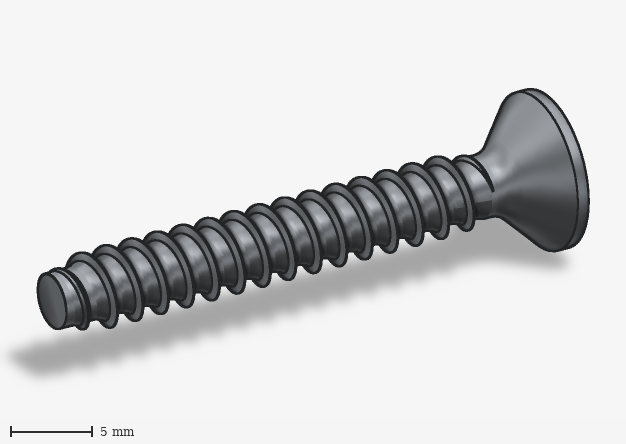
import cadquery as cq
import math

length = 35.0

head_radius = 5.0
rim_thickness = 0.77
shank_radius = 1.95
neck_fillet = 2.0
neck_angle = math.radians(45)
shank_end = 5.05

core_radius = 1.75
core_start = 6.02

crest_radius = 2.5
full_start = 6.65
full_length = 25.65
full_turns = 14.25
pitch = full_length / full_turns
lead_in_turns = 1.0
run_out_turns = 1.35
sections_per_turn = 12
full_stretches = 3

crest_half_width = 0.05
head_flank_foot = -0.35
tip_flank_foot = 0.25
root_start_radius = 2.0
root_middle = (0.7, 1.82)
root_end = 1.35
burial_depth = 0.052
buried_radius = core_radius - burial_depth

lead_in_height = 0.3
run_out_height = 0.03


def make_blank():
    """Head, neck and core as one turned body."""
    neck_radius = shank_radius + neck_fillet * (1 - math.cos(neck_angle))
    neck_start = rim_thickness + (head_radius - neck_radius) / math.tan(neck_angle)
    neck_end = neck_start + neck_fillet * math.sin(neck_angle)
    half_angle = neck_angle / 2
    neck_middle = (
        shank_radius + neck_fillet * (1 - math.cos(half_angle)),
        -(neck_end - neck_fillet * math.sin(half_angle)),
    )
    return (
        cq.Workplane("XY")
        .lineTo(head_radius, 0)
        .lineTo(head_radius, -rim_thickness)
        .lineTo(neck_radius, -neck_start)
        .threePointArc(neck_middle, (shank_radius, -neck_end))
        .lineTo(shank_radius, -shank_end)
        .lineTo(core_radius, -core_start)
        .lineTo(core_radius, -length)
        .lineTo(0, -length)
        .close()
        .revolve(360, (0, 0, 0), (0, 1, 0))
        .val()
    )


def height_share(turn):
    """Share of the full ridge height; turn 0 is the first full-height crest."""
    if turn < 0:
        return 1 + (1 - lead_in_height) * turn / lead_in_turns
    if turn > full_turns:
        return 1 - (1 - run_out_height) * (turn - full_turns) / run_out_turns
    return 1


def ridge_section(turn):
    """Ridge section in the plane through the axis; turn 0 lies on the +X side."""
    angle = 2 * math.pi * turn
    crest_y = -full_start - pitch * turn
    share = height_share(turn)

    def corner(offset, full_radius):
        radius = buried_radius + share * (full_radius - buried_radius)
        return cq.Vector(radius * math.cos(angle), crest_y - offset, radius * math.sin(angle))

    head_foot = corner(head_flank_foot, buried_radius)
    head_crest = corner(-crest_half_width, crest_radius)
    tip_crest = corner(crest_half_width, crest_radius)
    tip_foot = corner(tip_flank_foot, root_start_radius)
    root_foot = corner(root_end, buried_radius)
    return cq.Wire.assembleEdges([
        cq.Edge.makeLine(head_foot, head_crest),
        cq.Edge.makeLine(head_crest, tip_crest),
        cq.Edge.makeLine(tip_crest, tip_foot),
        cq.Edge.makeThreePointArc(tip_foot, corner(*root_middle), root_foot),
        cq.Edge.makeLine(root_foot, head_foot),
    ])


def ridge_stretch(first_turn, last_turn):
    """Ridge lofted through its sections from one turn to another."""
    turns = last_turn - first_turn
    steps = round(turns * sections_per_turn)
    sections = [ridge_section(first_turn + turns * step / steps) for step in range(steps + 1)]
    return cq.Solid.makeLoft(sections)


def make_thread():
    """Right-hand thread, as a list of stretches from shank to tip."""
    stretch_turns = full_turns / full_stretches
    lead_in = ridge_stretch(-lead_in_turns, 0)
    full = [
        ridge_stretch(stretch_turns * i, stretch_turns * (i + 1))
        for i in range(full_stretches)
    ]
    run_out = ridge_stretch(full_turns, full_turns + run_out_turns)

    envelope = cq.Solid.makeCylinder(head_radius, length, cq.Vector(0, 0, 0), cq.Vector(0, -1, 0))
    return [lead_in, *full, run_out.intersect(envelope)]


screw = make_blank().fuse(*make_thread())
result = cq.Workplane("XY").newObject(screw.Solids())